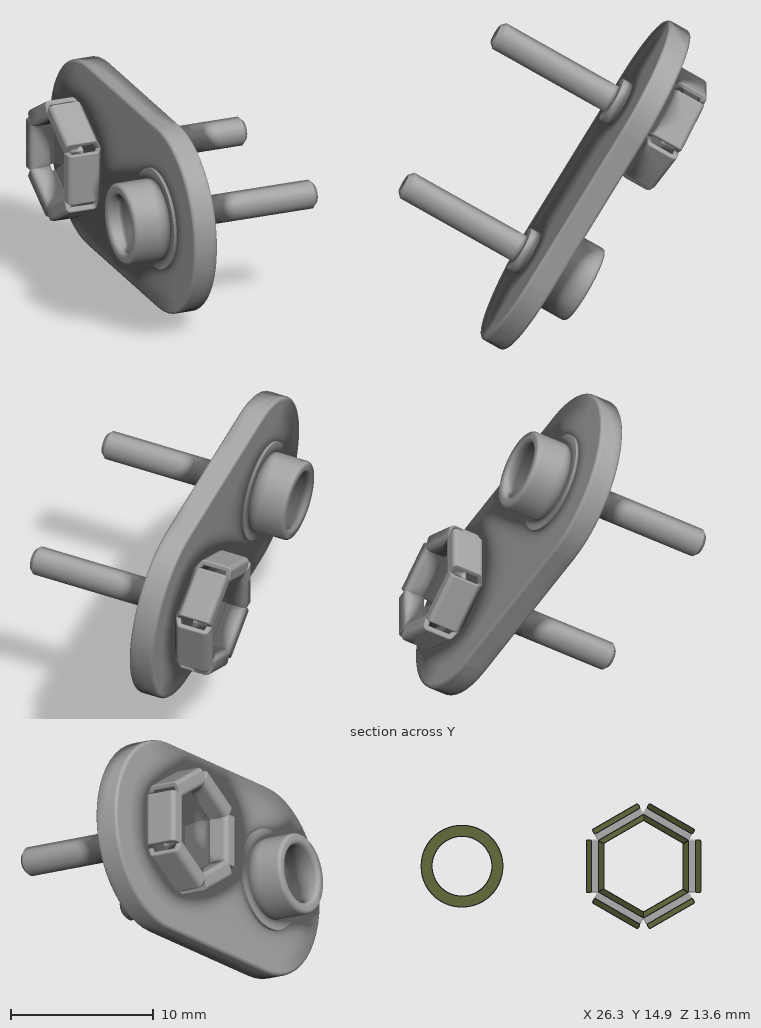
import cadquery as cq
import math

plate_length = 26.3
plate_height = 13.6
plate_thickness = 1.75
plate_edge_radius = 0.24
end_radius = plate_height / 2
station_x = plate_length / 2 - end_radius

pin_diameter = 2.05
pin_chamfer = 0.32
pin_tip_y = 11.91
collar_diameter = 3.3
collar_height = 0.74

flange_diameter = 7.2
flange_thickness = 0.2
sleeve_diameter = 5.75
sleeve_length = 2.85
sleeve_bore = 4.15
bore_floor = 0.5
sleeve_outer_radius = 0.25
sleeve_bore_radius = 0.32

petal_count = 6
petal_depth = 3.0
petal_width = 3.7
strip_thickness = 0.4
foot_thickness = 0.35
petal_outer = 4.02
foot_inner = 2.03
foot_angle = math.radians(30)
lip_inner = 2.75
lip_tip_depth = 1.53
petal_bend_radius = 0.35
petal_end_radius = 0.1


def cylinder(diameter, start_y, end_y):
    """Cylinder along Y, centred on the Y axis."""
    return cq.Workplane("XZ", origin=(0, start_y, 0)).circle(diameter / 2).extrude(start_y - end_y)


def make_plate():
    slab = cq.Workplane("XZ").slot2D(plate_length, plate_height).extrude(-plate_thickness)
    return slab.faces("<Y or >Y").edges().fillet(plate_edge_radius)


def make_pin():
    collar_back = plate_thickness + collar_height
    collar = cylinder(collar_diameter, plate_thickness, collar_back)
    shank = cylinder(pin_diameter, plate_thickness, pin_tip_y)
    return collar.union(shank.faces(">Y").chamfer(pin_chamfer))


def make_sleeve():
    flange = cylinder(flange_diameter, 0, -flange_thickness)
    tube = cylinder(sleeve_diameter, 0, -sleeve_length)
    tube = tube.faces("<Y").edges().fillet(sleeve_outer_radius)
    sleeve = flange.union(tube).cut(cylinder(sleeve_bore, -bore_floor, -sleeve_length))
    bore_rim = sleeve.faces("<Y").edges(cq.selectors.RadiusNthSelector(0))
    return bore_rim.fillet(sleeve_bore_radius)


class EdgesAt(cq.Selector):
    """Picks the edges centred on the given XY points."""

    def __init__(self, points):
        self.points = [cq.Vector(x, y, 0) for x, y in points]

    def filter(self, edges):
        tolerance = 0.0003
        return [
            edge
            for edge in edges
            if any((edge.Center() - point).Length < tolerance for point in self.points)
        ]


def make_petal():
    """Petal on the +X side of a ring centred on the Y axis."""
    wall_inner = petal_outer - strip_thickness
    lip_outer = lip_inner + strip_thickness
    bridge_back = petal_depth - strip_thickness
    foot_outer = foot_inner + foot_thickness / math.sin(foot_angle)
    outer_bend_depth = (petal_outer - foot_outer) * math.tan(foot_angle)
    inner_bend_depth = (wall_inner - foot_inner) * math.tan(foot_angle)
    profile = [
        (foot_inner, 0),
        (foot_outer, 0),
        (petal_outer, -outer_bend_depth),
        (petal_outer, -petal_depth),
        (lip_inner, -petal_depth),
        (lip_inner, -lip_tip_depth),
        (lip_outer, -lip_tip_depth),
        (lip_outer, -bridge_back),
        (wall_inner, -bridge_back),
        (wall_inner, -inner_bend_depth),
    ]
    strip = cq.Workplane("XY").polyline(profile).close().extrude(petal_width / 2, both=True)
    bends = strip.edges(EdgesAt([profile[2], profile[3], profile[4]]))
    strip = bends.fillet(petal_bend_radius)
    tip_edges = strip.edges(EdgesAt([profile[5], profile[6]]))
    end_edges = strip.faces("<Z or >Z").edges("not >Y")
    strip = end_edges.add(tip_edges).fillet(petal_end_radius)
    return strip.intersect(make_mitre_sector())


def make_mitre_sector():
    """Wedge that cuts a petal off where it meets its neighbours."""
    reach = 2 * petal_outer
    half_span = reach * math.tan(math.pi / petal_count)
    corners = [(0, 0), (reach, half_span), (reach, -half_span)]
    return cq.Workplane("XZ").polyline(corners).close().extrude(petal_depth)


plate = make_plate()
pins = [make_pin().translate((x, 0, 0)) for x in (-station_x, station_x)]
sleeve = make_sleeve().translate((station_x, 0, 0))
petals = [
    make_petal().rotate((0, 0, 0), (0, 1, 0), i * 360 / petal_count).translate((-station_x, 0, 0))
    for i in range(petal_count)
]

result = cq.Compound.makeCompound(
    [plate.val(), *[pin.val() for pin in pins], sleeve.val(), *[petal.val() for petal in petals]]
)